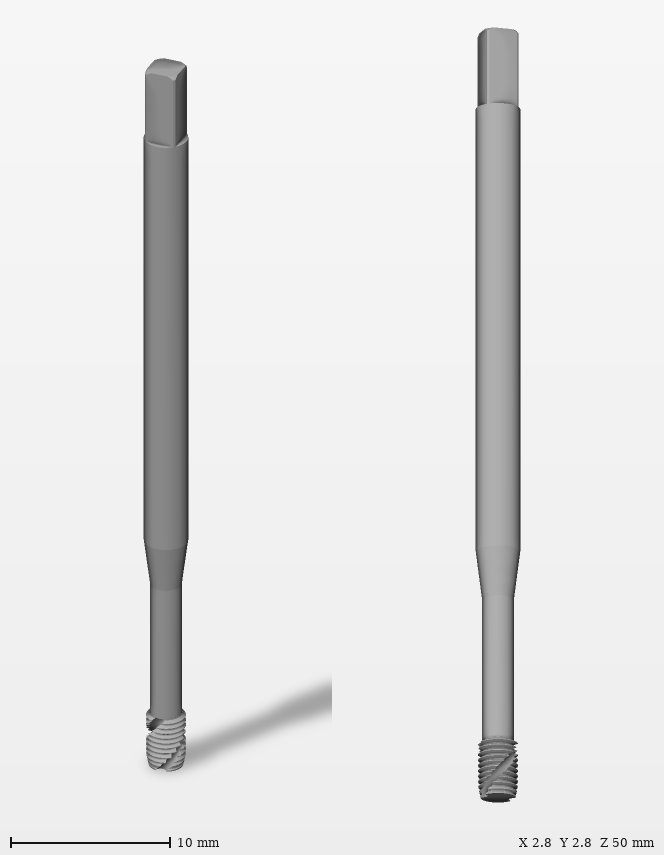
import cadquery as cq
import math


total_length = 50.0
shank_diameter = 2.8
neck_diameter = 2.0
square_width = 2.1
square_length = 5.0
square_bevel = 0.2
cone_bottom = 12.95
cone_top = 16.1

head_length = 3.7
thread_diameter = 2.5
tip_diameter = 2.2
lead_in_length = 0.75
thread_pitch = 0.35

flute_count = 2
flute_lead = 7.5
flute_width = 0.75
flute_core_diameter = 1.5
flute_start_angle = 95.0

crest_width = thread_pitch / 8
root_width = thread_pitch / 8
flank_width = (thread_pitch - crest_width - root_width) / 2
thread_depth = flank_width / math.tan(math.radians(30))
crest_radius = thread_diameter / 2
root_radius = crest_radius - thread_depth


def make_shank():
    """Neck, cone and cylindrical shank with a driving square on the end."""
    neck_radius = neck_diameter / 2
    shank_radius = shank_diameter / 2
    body = (
        cq.Workplane("XZ")
        .moveTo(0, head_length)
        .lineTo(neck_radius, head_length)
        .lineTo(neck_radius, cone_bottom)
        .lineTo(shank_radius, cone_top)
        .lineTo(shank_radius, total_length - square_bevel)
        .lineTo(shank_radius - square_bevel, total_length)
        .lineTo(0, total_length)
        .close()
        .revolve(360, (0, 0, 0), (0, 1, 0))
    )
    square_surround = (
        cq.Workplane("XY", origin=(0, 0, total_length - square_length))
        .rect(2 * shank_diameter, 2 * shank_diameter)
        .rect(square_width, square_width)
        .extrude(square_length)
    )
    return body.cut(square_surround)


def make_head_blank():
    """Cylinder with a tapered lead-in at the tip."""
    return (
        cq.Workplane("XZ")
        .moveTo(0, 0)
        .lineTo(tip_diameter / 2, 0)
        .lineTo(crest_radius, lead_in_length)
        .lineTo(crest_radius, head_length)
        .lineTo(0, head_length)
        .close()
        .revolve(360, (0, 0, 0), (0, 1, 0))
    )


def make_thread_groove(root_height):
    """Ring-shaped vee groove whose root is centred at the given height."""
    half_root = root_width / 2
    half_mouth = half_root + flank_width
    return (
        cq.Workplane("XZ")
        .moveTo(root_radius, root_height - half_root)
        .lineTo(crest_radius, root_height - half_mouth)
        .lineTo(crest_radius, root_height + half_mouth)
        .lineTo(root_radius, root_height + half_root)
        .close()
        .revolve(360, (0, 0, 0), (0, 1, 0))
    )


def make_flute(angle):
    """Right-hand helical channel with a round bottom, starting from the given angle at the tip."""
    bottom_radius = flute_width / 2
    outer_reach = thread_diameter / 2 + flute_width
    bottom_centre = flute_core_diameter / 2 + bottom_radius
    twist = 360 * head_length / flute_lead
    return (
        cq.Workplane("XY")
        .moveTo(outer_reach, -bottom_radius)
        .lineTo(bottom_centre, -bottom_radius)
        .threePointArc((flute_core_diameter / 2, 0), (bottom_centre, bottom_radius))
        .lineTo(outer_reach, bottom_radius)
        .close()
        .twistExtrude(head_length, twist)
        .rotate((0, 0, 0), (0, 0, 1), angle)
    )


def make_cutting_head():
    """Threaded head with annular thread grooves and helical flutes."""
    head = make_head_blank()
    groove_count = math.ceil(head_length / thread_pitch)
    for index in range(groove_count):
        head = head.cut(make_thread_groove((index + 0.5) * thread_pitch))
    for index in range(flute_count):
        head = head.cut(make_flute(flute_start_angle + index * 360 / flute_count))
    return head


shank = make_shank()
cutting_head = make_cutting_head()

result = cq.Compound.makeCompound([shank.val(), cutting_head.val()])